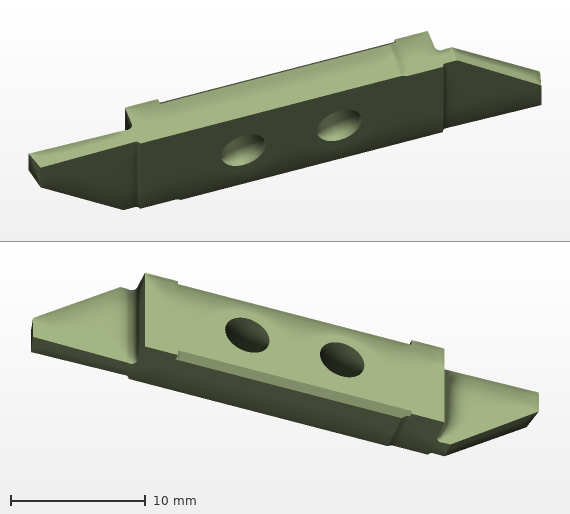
import cadquery as cq
import math


thickness = 3.6
length = 40.0
height = 8.0

body_length = 23.7
hole_diameter = 3.5
hole_spacing = 7.5

pad_rise = 0.2
pad_half_length = 9.15
ramp_radius = 0.7
pad_chamfer = 0.5
chamfer_half_length = 9.25

tip_left = 1.91
tip_right = 3.455
blade_taper = math.radians(1.0)
tip_angle = math.radians(15.0)
relief_radius = 0.45
relief_center_x = 1.62
back_fillet_radius = 0.3

tip_height = 2.0
slope_start_y = 13.05

half_length = length / 2
half_height = height / 2
shoulder_y = body_length / 2
low_edge_z = half_height - pad_rise


def arc_point(center, radius, angle):
    return (center[0] + radius * math.cos(angle), center[1] + radius * math.sin(angle))


def half_plan():
    """XY outline of the +Y half, full height: body, corner relief, tapered blade."""
    blade_length = half_length - shoulder_y
    tip_right_y = half_length - (tip_right - tip_left) * math.tan(tip_angle)

    relief_center = (relief_center_x, shoulder_y + relief_radius)
    root_left = tip_left + (blade_length - 2 * relief_radius) * math.tan(blade_taper)
    relief_end_angle = math.acos((root_left - relief_center_x) / relief_radius)
    relief_start_angle = -math.pi / 2
    relief_middle_angle = (relief_start_angle + relief_end_angle) / 2

    fillet_top_y = shoulder_y + back_fillet_radius
    root_right = tip_right - (tip_right_y - fillet_top_y) * math.tan(blade_taper)
    fillet_center = (root_right + back_fillet_radius, fillet_top_y)
    fillet_end_angle = -math.acos((thickness - fillet_center[0]) / back_fillet_radius)
    fillet_middle_angle = (-math.pi + fillet_end_angle) / 2

    outline = (
        cq.Workplane("XY")
        .workplane(offset=-half_height)
        .moveTo(0, 0)
        .lineTo(0, shoulder_y)
        .lineTo(relief_center_x, shoulder_y)
        .threePointArc(
            arc_point(relief_center, relief_radius, relief_middle_angle),
            arc_point(relief_center, relief_radius, relief_end_angle),
        )
        .lineTo(tip_left, half_length)
        .lineTo(tip_right, tip_right_y)
        .lineTo(root_right, fillet_top_y)
        .threePointArc(
            arc_point(fillet_center, back_fillet_radius, fillet_middle_angle),
            arc_point(fillet_center, back_fillet_radius, fillet_end_angle),
        )
        .lineTo(thickness, 0)
        .close()
    )
    return outline.extrude(height)


def side_profile():
    """YZ outline, full thickness: sloping blade ends and the pads with their curved ramps."""
    ramp_angle = math.acos(1 - pad_rise / ramp_radius)
    ramp_run = ramp_radius * math.sin(ramp_angle)
    ramp_middle_y = pad_half_length - ramp_radius * math.sin(ramp_angle / 2)
    ramp_middle_z = low_edge_z + ramp_radius * (1 - math.cos(ramp_angle / 2))

    outline = cq.Workplane("YZ").moveTo(half_length, -half_height)
    for side in (1, -1):
        outline = (
            outline.lineTo(side * half_length, side * (tip_height - half_height))
            .lineTo(side * slope_start_y, side * low_edge_z)
            .lineTo(side * pad_half_length, side * low_edge_z)
            .threePointArc(
                (side * ramp_middle_y, side * ramp_middle_z),
                (side * (pad_half_length - ramp_run), side * half_height),
            )
            .lineTo(-side * half_length, side * half_height)
        )
    return outline.close().extrude(thickness)


def pad_chamfer_cutter():
    """Triangular bar, slightly longer than the pad, that bevels the top edge along the flat face at X = 0."""
    return (
        cq.Workplane("XZ")
        .workplane(offset=-chamfer_half_length)
        .moveTo(0, half_height)
        .lineTo(pad_chamfer, half_height)
        .lineTo(0, half_height - pad_chamfer)
        .close()
        .extrude(2 * chamfer_half_length)
    )


def mounting_holes():
    return (
        cq.Workplane("YZ")
        .pushPoints([(-hole_spacing / 2, 0), (hole_spacing / 2, 0)])
        .circle(hole_diameter / 2)
        .extrude(thickness)
    )


def turned_over(shape):
    return shape.rotate((0, 0, 0), (1, 0, 0), 180)


plan = half_plan()
result = plan.union(turned_over(plan)).intersect(side_profile())

top_chamfer = pad_chamfer_cutter()
result = result.cut(top_chamfer).cut(turned_over(top_chamfer))
result = result.cut(mounting_holes())